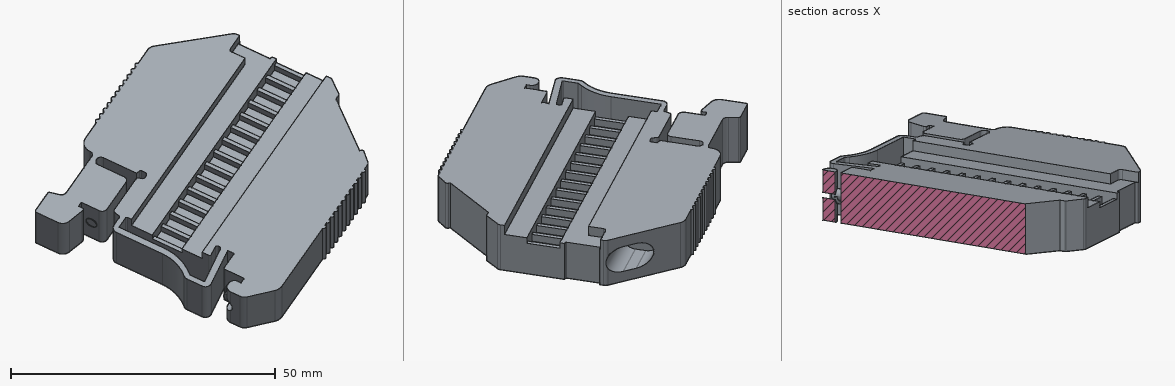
import cadquery as cq
import math

WIDTH = 50.1
HEIGHT = 54.7
THICKNESS = 10.0
MID_Z = THICKNESS / 2

GRIP_RADIUS = 0.45
GRIP_STAND_OUT = 0.4
GRIP_COUNT = 11
GRIP_PITCH = 1.5
GRIP_TOP_Y = 39.15
LEFT_WALL = GRIP_STAND_OUT
RIGHT_WALL = WIDTH - GRIP_STAND_OUT

JAW_Y = 6.25
LEFT_SLOT_FLOOR = 15.4
LEFT_SLOT_ROOF = 17.3
RIGHT_LIP_X = 40.6
RIGHT_LIP_BOTTOM = 2.25

SPRING_WIDTH = 1.3
SPRING_TOP = 4.8
SPRING_BOTTOM = SPRING_TOP - SPRING_WIDTH
SPRING_HEEL_BOTTOM = 0.75
SPRING_HEEL_TOP = 1.85
SPRING_BEND_X = 29.7
SPRING_BEND_RADIUS = 9.0
BODY_FLOOR = 7.55
LEG_SLOT_ROOF = 10.3

CHANNEL_LEFT = 17.35
CHANNEL_RIGHT = 32.7
CHANNEL_FLOOR_Z = 8.0
CORNER_LEFT = 13.85
CORNER_BOTTOM = 50.65
CORNER_RADIUS = 0.6
VALLEY_LEFT = 21.85
VALLEY_RIGHT = 28.3
VALLEY_FLOOR_Z = 5.3
CROSS_RIB_TOP_Z = 6.8
CROSS_RIB_WIDTH = 0.8
CROSS_RIB_COUNT = 15
CROSS_RIB_PITCH = (HEIGHT - BODY_FLOOR - CROSS_RIB_WIDTH) / (CROSS_RIB_COUNT - 1)

SCREW_CORE_RADIUS = 1.15
THREAD_RADIUS = 1.7
THREAD_PITCH = 1.8
THREAD_ROOT_WIDTH = 0.6
THREAD_EMBED = 0.2
LEFT_SCREW_X = 9.4
LEFT_SCREW_TIP = 6.1
RIGHT_SCREW_X = RIGHT_LIP_X
RIGHT_SCREW_TIP = 3.9
RIGHT_PLAIN_TIP = 0.95
SCREW_ROOT = 1.0
THREAD_ROOT = 0.5
ACCESS_DIAMETER = 5.5
ACCESS_LEFT = 5.25
ACCESS_RIGHT = 12.8
ACCESS_FLOOR = 44.0

BODY_CORNERS = [
    (0.55, 0.0, 0.45),
    (0.55, 5.25, 0.4),
    (3.55, 6.0, 1.1),
    (3.55, LEFT_SLOT_ROOF, 0.75),
    (LEFT_WALL, LEFT_SLOT_ROOF, 2.3),
    (LEFT_WALL, 44.0, 1.9),
    (12.8, HEIGHT, 1.3),
    (14.05, HEIGHT, 0.2),
    (14.05, 54.15, 0),
    (20.75, 54.15, 0),
    (20.95, HEIGHT, 0),
    (33.85, HEIGHT, 1.0),
    (36.95, 52.2, 0.2),
    (36.95, 51.0, 0),
    (46.75, 42.85, 0),
    (47.35, 43.3, 0.5),
    (RIGHT_WALL, 41.05, 0.8),
    (RIGHT_WALL, 7.35, 2.3),
    (44.7, RIGHT_LIP_BOTTOM, 1.8),
    (RIGHT_LIP_X, RIGHT_LIP_BOTTOM, 1.3),
    (RIGHT_LIP_X, 5.05, 1.3),
    (42.6, 5.05, 0),
    (42.6, JAW_Y, 0),
    (38.1, JAW_Y, 0.3),
    (38.1, LEG_SLOT_ROOF, 0),
    (36.7, LEG_SLOT_ROOF, 0),
    (38.0, SPRING_HEEL_BOTTOM, 1.2),
    (32.9, SPRING_HEEL_BOTTOM, 1.1),
    (SPRING_BEND_X, SPRING_BOTTOM, SPRING_BEND_RADIUS),
    (15.1, SPRING_BOTTOM, 1.3),
    (15.1, 7.0, 0.3),
    (13.4, 7.45, 0.6),
    (13.4, 16.4, 0.4),
    (14.7, 16.9, 0.4),
    (14.7, 18.25, 0.5),
    (13.15, 18.25, 0.3),
    (12.85, LEFT_SLOT_ROOF, 0),
    (4.7, LEFT_SLOT_ROOF, 0.9),
    (4.7, LEFT_SLOT_FLOOR, 0.9),
    (12.15, LEFT_SLOT_FLOOR, 0.9),
    (12.15, JAW_Y, 1.1),
    (7.15, JAW_Y, 0),
    (7.15, 5.2, 0),
    (8.3, 5.2, 0.1),
    (8.3, 4.6, 0.3),
    (7.0, 0.0, 1.8),
]

SPRING_OPENING_CORNERS = [
    (16.2, BODY_FLOOR, 0.25),
    (16.2, SPRING_TOP, 0),
    (SPRING_BEND_X, SPRING_TOP, SPRING_BEND_RADIUS + SPRING_WIDTH),
    (33.35, SPRING_HEEL_TOP, 0.3),
    (36.5, SPRING_HEEL_TOP, 0.2),
    (35.25, LEG_SLOT_ROOF, 0.4),
    (34.2, LEG_SLOT_ROOF, 0.4),
    (34.5, BODY_FLOOR, 0.3),
]


def rounded_prism(corners, z_low, z_high):
    """Extrude a closed polygon whose corners are rounded by tangent arcs."""
    wire = None
    for index, (x, y, radius) in enumerate(corners):
        corner = cq.Vector(x, y)
        before = cq.Vector(*corners[index - 1][:2])
        after = cq.Vector(*corners[(index + 1) % len(corners)][:2])
        to_before = (before - corner).normalized()
        to_after = (after - corner).normalized()
        half_angle = to_before.getAngle(to_after) / 2
        tangent_length = radius / math.tan(half_angle)
        arc_start = corner + to_before * tangent_length
        arc_end = corner + to_after * tangent_length
        if wire is None:
            wire = cq.Workplane("XY", origin=(0, 0, z_low)).moveTo(arc_start.x, arc_start.y)
        else:
            wire = wire.lineTo(arc_start.x, arc_start.y)
        if radius > 0:
            bisector = (to_before + to_after).normalized()
            arc_middle = corner + bisector * (radius / math.sin(half_angle) - radius)
            wire = wire.threePointArc((arc_middle.x, arc_middle.y), (arc_end.x, arc_end.y))
    return wire.close().extrude(z_high - z_low)


def block(x_low, x_high, y_low, y_high, z_low, z_high):
    """Axis-aligned block given by its limits."""
    size = (x_high - x_low, y_high - y_low, z_high - z_low)
    return cq.Workplane("XY", origin=(x_low, y_low, z_low)).box(*size, centered=False)


def rod_along_y(x, radius, y_low, y_high):
    """Cylinder along Y, centred in the thickness."""
    plane = cq.Plane(origin=(x, y_low, MID_Z), xDir=(1, 0, 0), normal=(0, 1, 0))
    return cq.Workplane(plane).circle(radius).extrude(y_high - y_low)


def grip_ribs():
    """Rounded finger-grip ribs down both side walls."""
    left_x = GRIP_RADIUS
    right_x = WIDTH - GRIP_RADIUS
    centres = []
    for index in range(GRIP_COUNT):
        y = GRIP_TOP_Y - index * GRIP_PITCH
        centres += [(left_x, y), (right_x, y)]
    return cq.Workplane("XY").pushPoints(centres).circle(GRIP_RADIUS).extrude(THICKNESS)


def channel():
    """Shallow channel with its side pocket at the top edge and a deeper central valley."""
    shallow = block(CHANNEL_LEFT, CHANNEL_RIGHT, BODY_FLOOR, HEIGHT, CHANNEL_FLOOR_Z, THICKNESS)
    corner_pocket = rounded_prism(
        [
            (CORNER_LEFT, HEIGHT, 0),
            (CORNER_LEFT, CORNER_BOTTOM, CORNER_RADIUS),
            (CHANNEL_LEFT, CORNER_BOTTOM, 0),
            (CHANNEL_LEFT, HEIGHT, 0),
        ],
        CHANNEL_FLOOR_Z,
        THICKNESS,
    )
    valley = block(VALLEY_LEFT, VALLEY_RIGHT, BODY_FLOOR, HEIGHT, VALLEY_FLOOR_Z, THICKNESS)
    return shallow.union(corner_pocket).union(valley)


def cross_ribs():
    """Evenly spaced ribs across the valley, flush with the body at both ends."""
    ribs = cq.Workplane("XY")
    for index in range(CROSS_RIB_COUNT):
        y = BODY_FLOOR + index * CROSS_RIB_PITCH
        ribs = ribs.union(
            block(VALLEY_LEFT, VALLEY_RIGHT, y, y + CROSS_RIB_WIDTH, VALLEY_FLOOR_Z, CROSS_RIB_TOP_Z)
        )
    return ribs


def access_slot():
    """Round-ended screwdriver opening sunk along -Y into the upper left slope."""
    centre_x = (ACCESS_LEFT + ACCESS_RIGHT) / 2
    plane = cq.Plane(origin=(centre_x, ACCESS_FLOOR, MID_Z), xDir=(1, 0, 0), normal=(0, 1, 0))
    length = ACCESS_RIGHT - ACCESS_LEFT
    return cq.Workplane(plane).slot2D(length, ACCESS_DIAMETER).extrude(HEIGHT - ACCESS_FLOOR)


def screw(x, tip_y, root_y, thread_low, thread_high):
    """Core and V-shaped helical thread of a screw along Y, as two solids."""
    core = rod_along_y(x, SCREW_CORE_RADIUS, tip_y, root_y)
    inner = SCREW_CORE_RADIUS - THREAD_EMBED
    half_root = THREAD_ROOT_WIDTH / 2
    helix = cq.Wire.makeHelix(THREAD_PITCH, thread_high - thread_low, SCREW_CORE_RADIUS)
    thread = (
        cq.Workplane("XZ")
        .polyline([(inner, -half_root), (THREAD_RADIUS, 0), (inner, half_root)])
        .close()
        .sweep(cq.Workplane(helix), isFrenet=True)
        .rotate((0, 0, 0), (1, 0, 0), -90)
        .translate((x, thread_low, MID_Z))
    )
    return core, thread


body = rounded_prism(BODY_CORNERS, 0, THICKNESS)
body = body.cut(rounded_prism(SPRING_OPENING_CORNERS, 0, THICKNESS))
body = body.union(grip_ribs())
body = body.cut(channel()).union(cross_ribs())
body = body.cut(access_slot())
body = body.cut(rod_along_y(RIGHT_SCREW_X, THREAD_RADIUS, 0, JAW_Y))

left_core, left_thread = screw(
    LEFT_SCREW_X,
    LEFT_SCREW_TIP,
    LEFT_SLOT_ROOF + SCREW_ROOT,
    LEFT_SLOT_FLOOR - SCREW_ROOT,
    LEFT_SLOT_ROOF + THREAD_ROOT,
)
right_core, right_thread = screw(
    RIGHT_SCREW_X,
    RIGHT_SCREW_TIP,
    JAW_Y + SCREW_ROOT,
    RIGHT_SCREW_TIP + RIGHT_PLAIN_TIP,
    JAW_Y + THREAD_ROOT,
)
result = body
for screw_piece in (left_core, right_core, left_thread, right_thread):
    result = result.union(screw_piece)